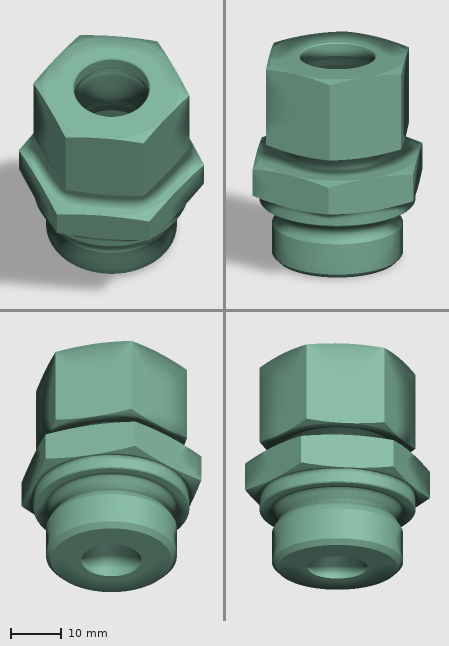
import cadquery as cq
import math

thread_top = 7.4
flange_bottom = 12.03
hex_bottom = 15.0
hex_top = 21.97
nut_bottom = 25.5
nut_top = 42.5
body_top = 34.0

hex_chamfer_angle = math.radians(15)
groove_angle = math.radians(30)

port_thread_radius = 26.0 / 2
port_thread_chamfer = 1.0
port_groove_radius = 23.7 / 2
port_groove_fillet = 1.2
flange_radius = 31.0 / 2
flange_chamfer = 0.2
body_hex_width = 32.0
neck_radius = 19.7 / 2
nut_thread_radius = 22.0 / 2
neck_fillet = 1.0
flare_bottom = 24.3

bore_radius = 12.0 / 2
tube_radius = 15.0 / 2
tube_stop = 27.0
seat_radius = 17.3 / 2
seat_angle = math.radians(12)
seat_bottom = body_top - (seat_radius - tube_radius) / math.tan(seat_angle)

nut_hex_width = 27.0
nut_bore_chamfer = 0.2
nut_lip_bottom = 39.75
nut_thread_end = 34.85

ring_bottom = 29.75
ring_top = 38.85
ring_radius = 8.4
ring_bore_radius = 7.6
ring_mouth_radius = 7.85
ring_mouth_bottom = 37.8


def fillet_rise(fillet, angle):
    """Height from the root of a groove to the point where its fillet has turned by angle."""
    return fillet * math.sin(angle)


def fillet_growth(fillet, angle):
    """Radius gained from the root of a groove to the point where its fillet has turned by angle."""
    return fillet * (1 - math.cos(angle))


def revolve(profile):
    """Turn a closed (radius, height) outline around the Z axis."""
    return profile.close().revolve(360, (0, 0, 0), (0, 1, 0))


def chamfered_hexagon(width, bottom, top):
    """Hexagon with corners on the Y axis, both ends coned from the inscribed circle."""
    corner_radius = width / math.sqrt(3)
    flat_radius = width / 2
    drop = (corner_radius - flat_radius) * math.tan(hex_chamfer_angle)
    prism = (
        cq.Workplane("XY")
        .workplane(offset=bottom)
        .polygon(6, 2 * corner_radius)
        .extrude(top - bottom)
        .rotate((0, 0, 0), (0, 0, 1), 30)
    )
    envelope = revolve(
        cq.Workplane("XZ")
        .moveTo(0, bottom)
        .lineTo(flat_radius, bottom)
        .lineTo(corner_radius, bottom + drop)
        .lineTo(corner_radius, top - drop)
        .lineTo(flat_radius, top)
        .lineTo(0, top)
    )
    return prism.intersect(envelope)


def make_port_stud():
    """Lower stud: chamfered thread, undercut with 30 degree flanks, and flange."""
    groove_middle = (thread_top + flange_bottom) / 2
    arc_rise = fillet_rise(port_groove_fillet, groove_angle)
    flank_radius = port_groove_radius + fillet_growth(port_groove_fillet, groove_angle)
    return revolve(
        cq.Workplane("XZ")
        .moveTo(0, 0)
        .lineTo(port_thread_radius - port_thread_chamfer, 0)
        .lineTo(port_thread_radius, port_thread_chamfer)
        .lineTo(port_thread_radius, thread_top)
        .lineTo(flank_radius, groove_middle - arc_rise)
        .threePointArc(
            (port_groove_radius, groove_middle),
            (flank_radius, groove_middle + arc_rise),
        )
        .lineTo(port_thread_radius, flange_bottom)
        .lineTo(flange_radius - flange_chamfer, flange_bottom)
        .lineTo(flange_radius, flange_bottom + flange_chamfer)
        .lineTo(flange_radius, hex_bottom)
        .lineTo(0, hex_bottom)
    )


def make_nut_stud():
    """Upper stud: filleted neck that flares out to the thread inside the nut."""
    flank_radius = neck_radius + fillet_growth(neck_fillet, groove_angle)
    flank_bottom = flare_bottom + fillet_rise(neck_fillet, groove_angle)
    flank_top = flank_bottom + (nut_thread_radius - flank_radius) / math.tan(groove_angle)
    half_angle = groove_angle / 2
    arc_middle = (
        neck_radius + fillet_growth(neck_fillet, half_angle),
        flare_bottom + fillet_rise(neck_fillet, half_angle),
    )
    return revolve(
        cq.Workplane("XZ")
        .moveTo(0, hex_top)
        .lineTo(neck_radius + neck_fillet, hex_top)
        .radiusArc((neck_radius, hex_top + neck_fillet), neck_fillet)
        .lineTo(neck_radius, flare_bottom)
        .threePointArc(arc_middle, (flank_radius, flank_bottom))
        .lineTo(nut_thread_radius, flank_top)
        .lineTo(nut_thread_radius, body_top)
        .lineTo(0, body_top)
    )


def make_body_bore():
    """Through bore, tube socket and conical seat for the cutting ring."""
    return revolve(
        cq.Workplane("XZ")
        .moveTo(0, 0)
        .lineTo(bore_radius, 0)
        .lineTo(bore_radius, tube_stop)
        .lineTo(tube_radius, tube_stop)
        .lineTo(tube_radius, seat_bottom)
        .lineTo(seat_radius, body_top)
        .lineTo(0, body_top)
    )


def make_body():
    outside = (
        make_port_stud()
        .union(chamfered_hexagon(body_hex_width, hex_bottom, hex_top))
        .union(make_nut_stud())
    )
    return outside.cut(make_body_bore())


def make_nut():
    cavity = revolve(
        cq.Workplane("XZ")
        .moveTo(0, nut_bottom)
        .lineTo(nut_thread_radius, nut_bottom)
        .lineTo(nut_thread_radius, nut_thread_end)
        .lineTo(ring_radius, nut_thread_end)
        .lineTo(ring_radius, nut_lip_bottom)
        .lineTo(tube_radius, nut_lip_bottom)
        .lineTo(tube_radius, nut_top - nut_bore_chamfer)
        .lineTo(tube_radius + nut_bore_chamfer, nut_top)
        .lineTo(0, nut_top)
    )
    return chamfered_hexagon(nut_hex_width, nut_bottom, nut_top).cut(cavity)


def make_cutting_ring():
    """Ring with a nose that fits the conical seat and a flared upper mouth."""
    nose_radius = tube_radius + (ring_bottom - seat_bottom) * math.tan(seat_angle)
    nose_top = ring_bottom + (ring_radius - nose_radius) / math.tan(seat_angle)
    return revolve(
        cq.Workplane("XZ")
        .moveTo(ring_bore_radius, ring_bottom)
        .lineTo(nose_radius, ring_bottom)
        .lineTo(ring_radius, nose_top)
        .lineTo(ring_radius, ring_top)
        .lineTo(ring_mouth_radius, ring_top)
        .lineTo(ring_bore_radius, ring_mouth_bottom)
    )


body = make_body()
nut = make_nut()
cutting_ring = make_cutting_ring()

result = cq.Compound.makeCompound([body.val(), nut.val(), cutting_ring.val()])